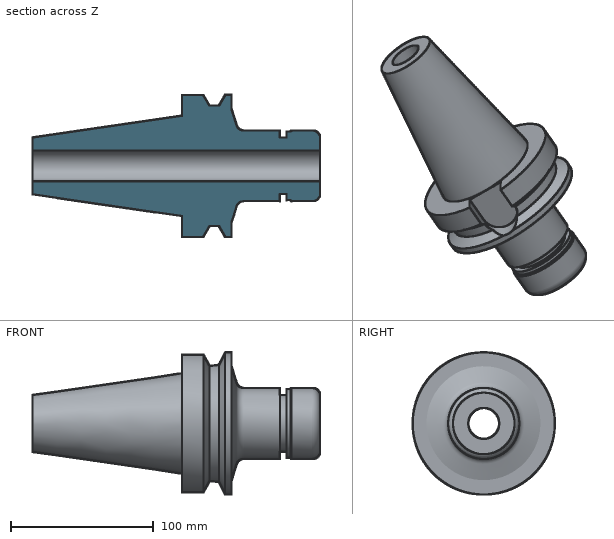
import cadquery as cq
import math


GAUGE_DIAMETER = 69.85
TAPER_LENGTH = 101.8
TAPER_RATIO = 7 / 24
TAPER_OVERRUN = 2.0

FLANGE_DIAMETER = 100.0
FLANGE_FRONT_X = 3.0
FLANGE_BACK_X = 38.0
GROOVE_CENTER_X = 25.8
GROOVE_FLOOR_WIDTH = 6.6
GROOVE_FLOOR_DIAMETER = 85.0
GROOVE_WALL_ANGLE = 30.0

BACK_CONE_DIAMETER = 80.0
BACK_CONE_SLOPE = 3.2
BLEND_RADIUS = 5.0

NOSE_DIAMETER = 50.0
NOSE_END_X = 100.0
RING_GROOVE_DIAMETER = 40.0
RING_GROOVE_START_X = 71.8
RING_GROOVE_WIDTH = 4.6
THREAD_RELIEF_DIAMETER = 48.4
THREAD_RELIEF_END_X = 79.1
THREAD_START_X = 80.0
END_ROUND_LENGTH = 5.0
END_ROUND_DROP = 3.0
END_CHAMFER = 0.4

BORE_DIAMETER = 21.5

SLOT_WIDTH = 25.7
SLOT_END_X = 34.0
SLOT_FLOOR_HEIGHT = 35.4


def body():
    gauge_radius = GAUGE_DIAMETER / 2
    small_end_radius = gauge_radius - TAPER_LENGTH * TAPER_RATIO / 2
    neck_radius = gauge_radius + TAPER_OVERRUN * TAPER_RATIO / 2
    flange_radius = FLANGE_DIAMETER / 2
    floor_radius = GROOVE_FLOOR_DIAMETER / 2
    floor_start = GROOVE_CENTER_X - GROOVE_FLOOR_WIDTH / 2
    floor_end = GROOVE_CENTER_X + GROOVE_FLOOR_WIDTH / 2
    wall_run = math.tan(math.radians(GROOVE_WALL_ANGLE))
    front_wall_top = floor_start - (flange_radius - floor_radius) * wall_run
    back_wall_top = floor_end + (flange_radius - floor_radius) * wall_run

    nose_radius = NOSE_DIAMETER / 2
    cone_radius = BACK_CONE_DIAMETER / 2
    cone_angle = math.atan(BACK_CONE_SLOPE)
    cone_end_radius = nose_radius + BLEND_RADIUS * (1 - math.cos(cone_angle))
    cone_end_x = FLANGE_BACK_X + (cone_radius - cone_end_radius) / BACK_CONE_SLOPE
    blend_center_x = cone_end_x + BLEND_RADIUS * math.sin(cone_angle)
    blend_mid = (
        blend_center_x - BLEND_RADIUS * math.sin(cone_angle / 2),
        nose_radius + BLEND_RADIUS * (1 - math.cos(cone_angle / 2)),
    )

    ring_groove_radius = RING_GROOVE_DIAMETER / 2
    ring_groove_end = RING_GROOVE_START_X + RING_GROOVE_WIDTH
    thread_relief_radius = THREAD_RELIEF_DIAMETER / 2

    round_end_x = NOSE_END_X - END_CHAMFER
    round_start_x = round_end_x - END_ROUND_LENGTH
    round_end_radius = nose_radius - END_ROUND_DROP
    round_arc_radius = (END_ROUND_LENGTH**2 + END_ROUND_DROP**2) / (2 * END_ROUND_DROP)
    half_sweep = math.asin(END_ROUND_LENGTH / round_arc_radius) / 2
    round_mid = (
        round_start_x + round_arc_radius * math.sin(half_sweep),
        nose_radius - round_arc_radius * (1 - math.cos(half_sweep)),
    )

    profile = (
        cq.Workplane("XY")
        .moveTo(-TAPER_LENGTH, 0)
        .lineTo(-TAPER_LENGTH, small_end_radius)
        .lineTo(TAPER_OVERRUN, neck_radius)
        .lineTo(FLANGE_FRONT_X, neck_radius)
        .lineTo(FLANGE_FRONT_X, flange_radius)
        .lineTo(front_wall_top, flange_radius)
        .lineTo(floor_start, floor_radius)
        .lineTo(floor_end, floor_radius)
        .lineTo(back_wall_top, flange_radius)
        .lineTo(FLANGE_BACK_X, flange_radius)
        .lineTo(FLANGE_BACK_X, cone_radius)
        .lineTo(cone_end_x, cone_end_radius)
        .threePointArc(blend_mid, (blend_center_x, nose_radius))
        .lineTo(RING_GROOVE_START_X, nose_radius)
        .lineTo(RING_GROOVE_START_X, ring_groove_radius)
        .lineTo(ring_groove_end, ring_groove_radius)
        .lineTo(ring_groove_end, thread_relief_radius)
        .lineTo(THREAD_RELIEF_END_X, thread_relief_radius)
        .lineTo(THREAD_START_X, nose_radius)
        .lineTo(round_start_x, nose_radius)
        .threePointArc(round_mid, (round_end_x, round_end_radius))
        .lineTo(NOSE_END_X, round_end_radius - END_CHAMFER)
        .lineTo(NOSE_END_X, 0)
        .close()
    )
    return profile.revolve(360, (0, 0, 0), (1, 0, 0))


def bore():
    return (
        cq.Workplane("YZ", origin=(-TAPER_LENGTH, 0, 0))
        .circle(BORE_DIAMETER / 2)
        .extrude(TAPER_LENGTH + NOSE_END_X)
    )


def drive_slot():
    half_width = SLOT_WIDTH / 2
    arc_center_x = SLOT_END_X - half_width
    return (
        cq.Workplane("XY", origin=(0, 0, SLOT_FLOOR_HEIGHT))
        .moveTo(0, -half_width)
        .lineTo(arc_center_x, -half_width)
        .threePointArc((SLOT_END_X, 0), (arc_center_x, half_width))
        .lineTo(0, half_width)
        .close()
        .extrude(FLANGE_DIAMETER / 2)
    )


result = body().cut(bore())
for turn in (0, 180):
    result = result.cut(drive_slot().rotate((0, 0, 0), (1, 0, 0), turn))